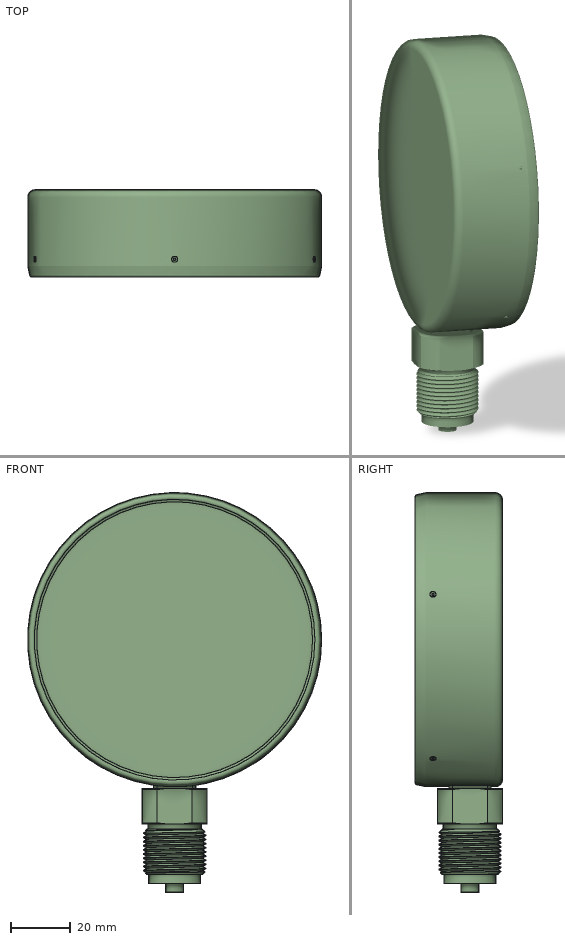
import cadquery as cq
import math


case_diameter = 99.0
case_radius = case_diameter / 2
case_depth = 29.5
back_fillet = 2.5
taper_length = 3.6
taper_end_radius = 97.9 / 2
rim_round = 1.0
rim_inner_radius = 47.8
rim_inner_round = 0.5
mouth_bevel_depth = 0.4
window_opening_radius = 46.5

flange_radius = 98.0 / 2
flange_setback = taper_length
window_setback = rim_inner_round + mouth_bevel_depth
window_back_setback = 8.1

screw_count = 5
screw_diameter = 2.0
screw_setback = 6.0
screw_hole_depth = 2.0
screw_recess = 0.1
socket_diameter = 0.8
socket_depth = 0.5

square_width = 22.0
square_corner_diameter = 24.9
square_height = 12.0
chamfer_height = 0.4
chamfer_width = 1.2
neck_width = 14.3
neck_corner_diameter = 18.6
neck_top_z = -48.2
relief_diameter = 18.0
relief_height = 1.7
thread_diameter = 21.0
thread_length = 15.3
thread_turns = 11
thread_pitch = thread_length / thread_turns
thread_depth = 1.1
thread_end_chamfer = 1.2
thread_crest_flat = 0.1
collar_diameter = 17.5
collar_height = 3.0
tip_diameter = 6.0
tip_height = 3.0

overall_height = 134.6
bottom_z = case_radius - overall_height
collar_bottom_z = bottom_z + tip_height
thread_bottom_z = collar_bottom_z + collar_height
thread_top_z = thread_bottom_z + thread_length
square_bottom_z = thread_top_z + relief_height
square_top_z = square_bottom_z + square_height

back_y = square_width / 2
front_y = back_y - case_depth

screw_top_radius = case_radius - screw_recess
screw_floor_radius = case_radius - screw_hole_depth


def revolve_about_case_axis(profile):
    """Turn a profile, drawn as (radius, Y), about the case axis."""
    return profile.close().revolve(360, (0, 0, 0), (0, 1, 0))


def cylinder(diameter, bottom, top):
    """A round stretch of the stem."""
    return cq.Workplane("XY", origin=(0, 0, bottom)).circle(diameter / 2).extrude(top - bottom)


def make_window():
    """Disc with a flange that the rim of the case holds in."""
    return revolve_about_case_axis(
        cq.Workplane("XY")
        .moveTo(0, front_y + window_setback)
        .lineTo(window_opening_radius, front_y + window_setback)
        .lineTo(window_opening_radius, front_y + flange_setback)
        .lineTo(flange_radius, front_y + flange_setback)
        .lineTo(flange_radius, front_y + window_back_setback)
        .lineTo(0, front_y + window_back_setback)
    )


def make_case_blank():
    """Outer shape of the case, with the bevelled mouth of the rim."""
    quarter_arc_sag = 1 - math.sqrt(0.5)
    rim_outer_radius = taper_end_radius - rim_round
    inner_round_mid = rim_inner_round * quarter_arc_sag
    round_mid = rim_round * quarter_arc_sag
    fillet_mid = back_fillet * quarter_arc_sag
    return revolve_about_case_axis(
        cq.Workplane("XY")
        .moveTo(0, front_y + window_setback)
        .lineTo(window_opening_radius, front_y + window_setback)
        .lineTo(rim_inner_radius - rim_inner_round, front_y + rim_inner_round)
        .threePointArc(
            (rim_inner_radius - rim_inner_round + inner_round_mid, front_y + inner_round_mid),
            (rim_inner_radius, front_y),
        )
        .lineTo(rim_outer_radius, front_y)
        .threePointArc(
            (taper_end_radius - round_mid, front_y + round_mid),
            (taper_end_radius, front_y + rim_round),
        )
        .lineTo(case_radius, front_y + taper_length)
        .lineTo(case_radius, back_y - back_fillet)
        .threePointArc(
            (case_radius - fillet_mid, back_y - fillet_mid),
            (case_radius - back_fillet, back_y),
        )
        .lineTo(0, back_y)
    )


def place_around_case(upright):
    """Copies of an upright shape at equal angles about the case axis, the first at the top."""
    step = 360 / screw_count
    return [upright.rotate((0, 0, 0), (0, 1, 0), index * step) for index in range(screw_count)]


def upright_rod(diameter, bottom, top):
    """Round rod above the case axis, in the plane of the set screws."""
    rod = cq.Workplane("XY", origin=(0, front_y + screw_setback, bottom))
    return rod.circle(diameter / 2).extrude(top - bottom)


def make_screw_holes():
    """Cutters that reach past the case surface, so each hole is open outward."""
    cutter_end_radius = case_radius + screw_diameter
    return place_around_case(upright_rod(screw_diameter, screw_floor_radius, cutter_end_radius))


def make_screws():
    """Set screws with a blind round socket in the outer end."""
    socket = upright_rod(socket_diameter, screw_top_radius - socket_depth, screw_top_radius)
    screw = upright_rod(screw_diameter, screw_floor_radius, screw_top_radius)
    return place_around_case(screw.cut(socket))


def make_thread():
    """Right-hand V thread with both ends chamfered."""
    radius = thread_diameter / 2
    blank = cylinder(thread_diameter, thread_bottom_z, thread_top_z).edges().chamfer(thread_end_chamfer)
    root_radius = radius - thread_depth
    flank_slope = (thread_pitch - thread_crest_flat) / 2 / thread_depth
    overshoot = 0.05
    groove_half_width = flank_slope * (thread_depth + overshoot)
    start_z = thread_bottom_z - thread_pitch
    path = cq.Wire.makeHelix(
        thread_pitch, thread_length + 2 * thread_pitch, root_radius, center=cq.Vector(0, 0, start_z)
    )
    groove = (
        cq.Workplane("XZ")
        .polyline([
            (root_radius, start_z),
            (radius + overshoot, start_z - groove_half_width),
            (radius + overshoot, start_z + groove_half_width),
        ])
        .close()
        .sweep(cq.Workplane(obj=path), isFrenet=True)
    )
    return blank.cut(groove)


def turned_square(width, corner_limit, bottom, height):
    """Square bar whose corners are turned down to a round limit."""
    bar = cq.Workplane("XY", origin=(0, 0, bottom)).rect(width, width).extrude(height)
    return bar.intersect(corner_limit)


def make_neck():
    """Top of the stem, which plugs into the underside of the case."""
    corner_limit = cylinder(neck_corner_diameter, square_top_z, neck_top_z)
    return turned_square(neck_width, corner_limit, square_top_z, neck_top_z - square_top_z)


def make_wrench_square():
    blank = cylinder(square_corner_diameter, square_bottom_z, square_top_z)
    corner_limit = (
        blank.faces(">Z").chamfer(chamfer_height, chamfer_width)
        .faces("<Z").chamfer(chamfer_height, chamfer_width)
    )
    return turned_square(square_width, corner_limit, square_bottom_z, square_height)


def make_stem():
    """One turned piece, joined from the wrench square outward."""
    stem = make_wrench_square()
    stem = stem.union(make_neck())
    stem = stem.union(cylinder(relief_diameter, thread_top_z, square_bottom_z))
    stem = stem.union(make_thread())
    stem = stem.union(cylinder(collar_diameter, collar_bottom_z, thread_bottom_z))
    return stem.union(cylinder(tip_diameter, bottom_z, collar_bottom_z))


window = make_window()
case = make_case_blank().cut(window).cut(make_neck())
for hole in make_screw_holes():
    case = case.cut(hole)
    window = window.cut(hole)
stem = make_stem()
screws = make_screws()

result = cq.Compound.makeCompound([
    case.solids().val(),
    window.solids().val(),
    stem.solids().val(),
    *[screw.solids().val() for screw in screws],
])